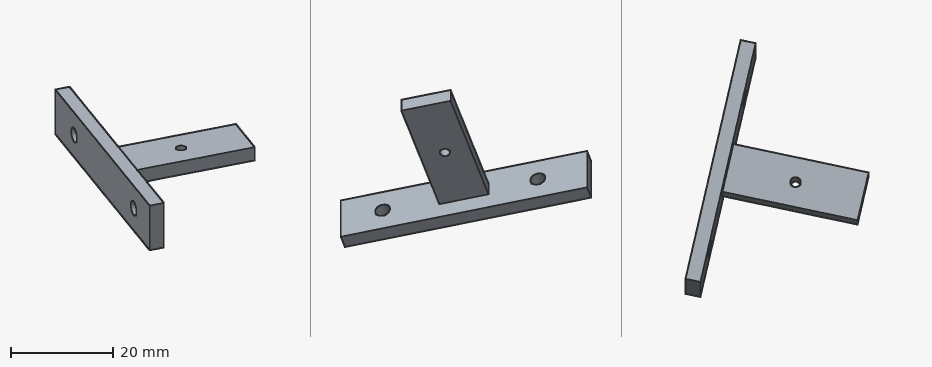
import cadquery as cq

plate_length = 50
plate_thickness = 3
plate_height = 10
plate_hole_diameter = 3
plate_hole_positions = (-15, 16.5)

total_depth = 30
arm_width = 10
arm_thickness = 3
arm_hole_diameter = 2
arm_length = total_depth - plate_thickness
arm_middle_y = plate_thickness + arm_length / 2


def make_plate():
    """Plate with its front face at Y = 0 and two through holes along Y."""
    plate = cq.Workplane("XY").box(plate_length, plate_thickness, plate_height)
    plate = plate.faces("<Y").workplane(origin=(0, 0, 0))
    plate = plate.pushPoints([(x, 0) for x in plate_hole_positions]).hole(plate_hole_diameter)
    return plate.translate((0, plate_thickness / 2, 0))


def make_arm():
    """Arm at mid-height of the plate with a vertical hole at its centre."""
    arm = cq.Workplane("XY").box(arm_width, arm_length, arm_thickness)
    arm = arm.faces(">Z").workplane().hole(arm_hole_diameter)
    return arm.translate((0, arm_middle_y, 0))


result = make_plate().union(make_arm())